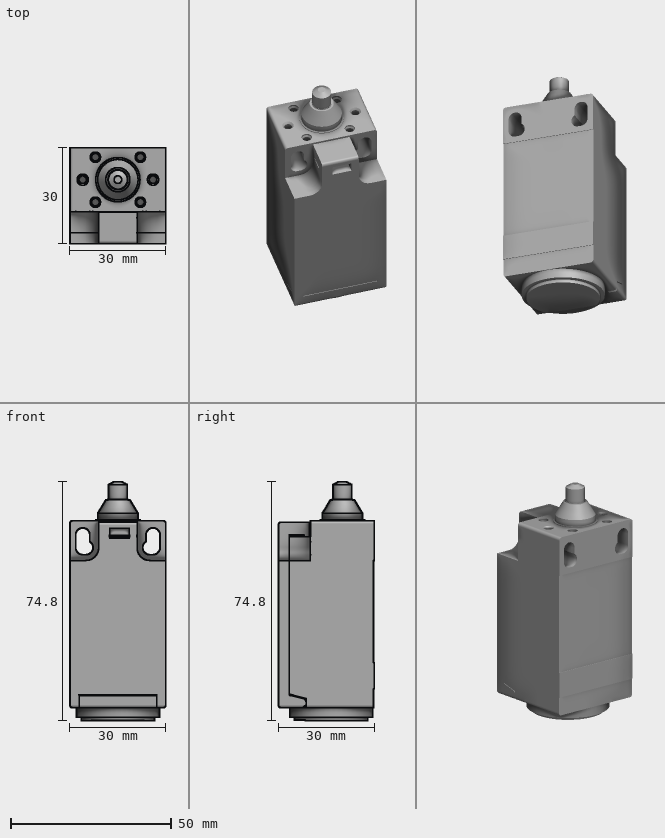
import cadquery as cq


WIDTH = 30.0
DEPTH = 30.0
BODY_HEIGHT = 58.5
EDGE_RADIUS = 1.0
HEAD_DEPTH = 20.0
BACK_Y = HEAD_DEPTH / 2
HEAD_FRONT_Y = -HEAD_DEPTH / 2
FRONT_Y = BACK_Y - DEPTH

PAD_HEIGHT = 0.2
SHOULDER_Z = 46.0
BACK_PADS = [(6.0, 14.1), (SHOULDER_Z, BODY_HEIGHT)]

NECK_WIDTH = 11.95
NECK_RADIUS = 4.0

COVER_THICKNESS = 3.4
COVER_INNER_Y = FRONT_Y + COVER_THICKNESS
COVER_TOP = 58.05
COVER_GAP = 0.2
HOOK_BACK_Y = HEAD_FRONT_Y - COVER_GAP
HOOK_LIP_THICKNESS = 1.7
NECK_TOP = 53.5
HOOK_SLIT = 0.45

TONGUE_WIDTH = 24.1
TONGUE_TOP = 3.8
LUG_BACK_Y = -11.35
LUG_TOP_FRONT = 4.0
LUG_TOP_BACK = 2.7
LUG_TOP_RADIUS = 1.1
LUG_CHAMFER = 1.0

WINDOW_WIDTH = 6.1
WINDOW_X = 0.5
WINDOW_BOTTOM = 52.95
WINDOW_TOP = 56.0

SLOT_X = 11.0
SLOT_WIDTH = 4.3
SLOT_LOW_Z = 50.05
SLOT_HIGH_Z = 54.0
SLOT_SIDE_SHIFT = 1.05

HOLE_DIAMETER = 2.4
HOLE_DEPTH = 3.0
HOLE_SPACING = 14.05
CORNER_MOUTH_DIAMETER = 3.2
CORNER_MOUTH_DEPTH = 0.5
SLOT_HOLE_MOUTH_DIAMETER = 3.5

COLLAR_DIAMETER = 13.8
COLLAR_HEIGHT = 0.2
BOOT_DIAMETER = 12.6
BOOT_TOP_DIAMETER = 7.55
BOOT_CONE_Z = 60.7
BOOT_TOP_Z = 65.0
PLUNGER_DIAMETER = 6.0
SLEEVE_DIAMETER = 6.2
SLEEVE_HEIGHT = 0.2
PLUNGER_TIP_DIAMETER = 2.4
PLUNGER_TIP_HEIGHT = 1.0
PLUNGER_TOP_Z = 70.7

ENTRY_Y = -3.5
ENTRY_DIAMETER = 26.0
ENTRY_HEIGHT = 3.0
ENTRY_END_DIAMETER = 23.0
ENTRY_END_HEIGHT = 1.05
ENTRY_STEP_Y = -11.65
ENTRY_STEP_HEIGHT = 0.2


def box(x_size, y_min, y_max, z_min, z_max, x_center=0):
    """Block centred on x_center, between the given Y and Z limits."""
    return (
        cq.Workplane("XY", origin=(x_center, (y_min + y_max) / 2, z_min))
        .rect(x_size, y_max - y_min)
        .extrude(z_max - z_min)
    )


def shouldered_plate(y_min, y_max, top):
    """Full-width plate that narrows to the neck above its two filleted shoulders."""
    half_neck = NECK_WIDTH / 2
    outline = (
        cq.Workplane("XZ", origin=(0, y_max, 0))
        .moveTo(-WIDTH / 2, 0)
        .lineTo(WIDTH / 2, 0)
        .lineTo(WIDTH / 2, SHOULDER_Z)
        .lineTo(half_neck + NECK_RADIUS, SHOULDER_Z)
        .radiusArc((half_neck, SHOULDER_Z + NECK_RADIUS), NECK_RADIUS)
        .lineTo(half_neck, top)
        .lineTo(-half_neck, top)
        .lineTo(-half_neck, SHOULDER_Z + NECK_RADIUS)
        .radiusArc((-half_neck - NECK_RADIUS, SHOULDER_Z), NECK_RADIUS)
        .lineTo(-WIDTH / 2, SHOULDER_Z)
        .close()
    )
    return outline.extrude(y_max - y_min)


def rounded_envelope():
    """Outer block with its side and front bottom edges rounded."""
    block = box(WIDTH, FRONT_Y, BACK_Y, 0, BODY_HEIGHT)
    return block.edges("<Z").edges("|Y or <Y").fillet(EDGE_RADIUS)


def lug_space(clearance):
    """Full-width hinge profile in the lower front corner, grown upward by the clearance."""
    return (
        cq.Workplane("YZ", origin=(-WIDTH / 2, 0, 0))
        .moveTo(COVER_INNER_Y, 0)
        .lineTo(LUG_BACK_Y, 0)
        .lineTo(LUG_BACK_Y, LUG_TOP_BACK + clearance)
        .lineTo(COVER_INNER_Y, LUG_TOP_FRONT + clearance)
        .close()
        .extrude(WIDTH)
    )


def mounting_slots():
    """Two mirrored slots along Y, each with a sideways bulge toward the neck at its lower end."""
    slots = cq.Workplane("XY")
    for side in (-1, 1):
        upright = (
            cq.Workplane("XZ", origin=(side * SLOT_X, BACK_Y, (SLOT_LOW_Z + SLOT_HIGH_Z) / 2))
            .slot2D(SLOT_HIGH_Z - SLOT_LOW_Z + SLOT_WIDTH, SLOT_WIDTH, 90)
            .extrude(HEAD_DEPTH)
        )
        bulge_x = side * (SLOT_X - SLOT_SIDE_SHIFT / 2)
        bulge = (
            cq.Workplane("XZ", origin=(bulge_x, BACK_Y, SLOT_LOW_Z))
            .slot2D(SLOT_SIDE_SHIFT + SLOT_WIDTH, SLOT_WIDTH)
            .extrude(HEAD_DEPTH)
        )
        slots = slots.union(upright).union(bulge)
    return slots


def countersunk_hole(mouth_diameter):
    """Blind hole going down from z = 0 with a 45 degree countersink."""
    cone_depth = (mouth_diameter - HOLE_DIAMETER) / 2
    return (
        cq.Workplane("XZ")
        .lineTo(mouth_diameter / 2, 0)
        .lineTo(HOLE_DIAMETER / 2, -cone_depth)
        .lineTo(HOLE_DIAMETER / 2, -HOLE_DEPTH)
        .lineTo(0, -HOLE_DEPTH)
        .close()
        .revolve(360, (0, 0), (0, 1))
    )


def screw_holes():
    """Four corner holes in a square, and two more that open into the mounting slots."""
    half = HOLE_SPACING / 2
    straight_mouth = cq.Workplane("XY").circle(CORNER_MOUTH_DIAMETER / 2).extrude(CORNER_MOUTH_DEPTH)
    corner_hole = countersunk_hole(CORNER_MOUTH_DIAMETER).union(straight_mouth)
    slot_hole = countersunk_hole(SLOT_HOLE_MOUTH_DIAMETER)

    holes = cq.Workplane("XY")
    for x in (-half, half):
        for y in (-half, half):
            holes = holes.union(corner_hole.translate((x, y, BODY_HEIGHT - CORNER_MOUTH_DEPTH)))
    for x in (-SLOT_X, SLOT_X):
        holes = holes.union(slot_hole.translate((x, 0, BODY_HEIGHT)))
    return holes


def plunger():
    """Collar, conical boot, thin sleeve and round plunger as one turned shape."""
    collar_top = BODY_HEIGHT + COLLAR_HEIGHT
    return (
        cq.Workplane("XZ")
        .moveTo(0, BODY_HEIGHT)
        .lineTo(COLLAR_DIAMETER / 2, BODY_HEIGHT)
        .lineTo(COLLAR_DIAMETER / 2, collar_top)
        .lineTo(BOOT_DIAMETER / 2, collar_top)
        .lineTo(BOOT_DIAMETER / 2, BOOT_CONE_Z)
        .lineTo(BOOT_TOP_DIAMETER / 2, BOOT_TOP_Z)
        .lineTo(SLEEVE_DIAMETER / 2, BOOT_TOP_Z)
        .lineTo(SLEEVE_DIAMETER / 2, BOOT_TOP_Z + SLEEVE_HEIGHT)
        .lineTo(PLUNGER_DIAMETER / 2, BOOT_TOP_Z + SLEEVE_HEIGHT)
        .lineTo(PLUNGER_DIAMETER / 2, PLUNGER_TOP_Z - PLUNGER_TIP_HEIGHT)
        .lineTo(PLUNGER_TIP_DIAMETER / 2, PLUNGER_TOP_Z)
        .lineTo(0, PLUNGER_TOP_Z)
        .close()
        .revolve(360, (0, 0), (0, 1))
    )


def cable_entry():
    """Stepped round boss under the housing, the front of its end face stepped up."""
    boss = cq.Workplane("XY", origin=(0, ENTRY_Y, 0)).circle(ENTRY_DIAMETER / 2).extrude(-ENTRY_HEIGHT)
    boss = boss.faces("<Z").workplane().circle(ENTRY_END_DIAMETER / 2).extrude(ENTRY_END_HEIGHT)
    end_z = -ENTRY_HEIGHT - ENTRY_END_HEIGHT
    return boss.cut(box(WIDTH, FRONT_Y, ENTRY_STEP_Y, end_z, end_z + ENTRY_STEP_HEIGHT))


def make_housing():
    head = box(WIDTH, HEAD_FRONT_Y, BACK_Y - PAD_HEIGHT, 0, BODY_HEIGHT)
    for pad_bottom, pad_top in BACK_PADS:
        head = head.union(box(WIDTH, HEAD_FRONT_Y, BACK_Y, pad_bottom, pad_top))
    head = head.faces(">Z").edges("|Y").fillet(EDGE_RADIUS)
    head = head.cut(mounting_slots()).cut(screw_holes())

    front_block = shouldered_plate(COVER_INNER_Y, HEAD_FRONT_Y, NECK_TOP).cut(lug_space(COVER_GAP))
    tongue = box(TONGUE_WIDTH, FRONT_Y, HEAD_FRONT_Y, 0, TONGUE_TOP)
    body = head.union(front_block).union(tongue).intersect(rounded_envelope())
    return body.union(plunger()).union(cable_entry())


def make_cover():
    plate = shouldered_plate(FRONT_Y, COVER_INNER_Y, COVER_TOP)

    hook_underside = NECK_TOP + HOOK_SLIT
    hook = box(NECK_WIDTH, COVER_INNER_Y, HOOK_BACK_Y, hook_underside, COVER_TOP)
    lip = box(NECK_WIDTH, HOOK_BACK_Y - HOOK_LIP_THICKNESS, HOOK_BACK_Y, NECK_TOP, COVER_TOP)
    cover = plate.union(hook).union(lip)
    cover = cover.faces(">Z").edges("<Y").fillet(EDGE_RADIUS)

    lugs = lug_space(0)
    lugs = lugs.faces(">Y").edges(">Z").fillet(LUG_TOP_RADIUS)
    lugs = lugs.faces(">Y").edges("<Z").chamfer(LUG_CHAMFER)
    tongue_recess = box(TONGUE_WIDTH, FRONT_Y, LUG_BACK_Y, 0, TONGUE_TOP + COVER_GAP)
    cover = cover.union(lugs).cut(tongue_recess)

    window = box(WINDOW_WIDTH, FRONT_Y, COVER_INNER_Y, WINDOW_BOTTOM, WINDOW_TOP, WINDOW_X)
    return cover.cut(window).intersect(rounded_envelope())


housing = make_housing()
cover = make_cover()

result = cq.Compound.makeCompound([housing.val(), cover.val()])